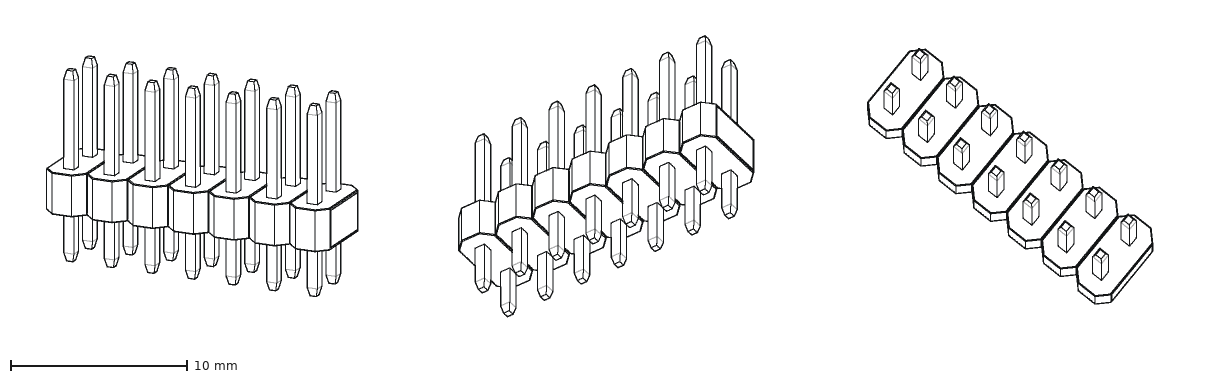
import cadquery as cq

TOTAL_LENGTH = 17.78
SECTION_COUNT = 7
PINS_PER_SECTION = 2
PITCH = TOTAL_LENGTH / SECTION_COUNT

PAD_THICKNESS = 0.02
PAD_MARGIN = 0.1

BLOCK_LENGTH = PITCH - 2 * PAD_THICKNESS
BLOCK_WIDTH = PINS_PER_SECTION * PITCH
BLOCK_HEIGHT = 2.5
CORNER_CUT = PITCH / 4
EDGE_BEVEL = 0.05

PIN_WIDTH = 0.64
PIN_TIP_WIDTH = 0.4
PIN_TIP_LENGTH = 0.52
PIN_TOTAL_LENGTH = 11.4
PIN_LENGTH_BELOW = 3.04


def centered_position(index, count):
    """Place of one item in a row spaced by the pitch and centred on zero."""
    return (index - (count - 1) / 2) * PITCH


def make_block():
    """Eight-sided block standing on Z = 0, with bevelled top and bottom rims."""
    block = cq.Workplane("XY").rect(BLOCK_LENGTH, BLOCK_WIDTH).extrude(BLOCK_HEIGHT)
    block = block.edges("|Z").chamfer(CORNER_CUT)
    return block.faces("<Z or >Z").edges().chamfer(EDGE_BEVEL)


def make_pads():
    """One plate through the block that stands proud of both end faces as pads."""
    end_face_width = BLOCK_WIDTH - 2 * CORNER_CUT
    end_face_height = BLOCK_HEIGHT - 2 * EDGE_BEVEL
    plate = cq.Workplane("XY", origin=(0, 0, BLOCK_HEIGHT / 2))
    return plate.box(PITCH, end_face_width - 2 * PAD_MARGIN, end_face_height - 2 * PAD_MARGIN)


def make_pin_tip(base_z, length):
    """Tapered tip that starts at base_z; a negative length points it down."""
    return (
        cq.Workplane("XY", origin=(0, 0, base_z))
        .rect(PIN_WIDTH, PIN_WIDTH)
        .workplane(offset=length)
        .rect(PIN_TIP_WIDTH, PIN_TIP_WIDTH)
        .loft(ruled=True)
    )


def make_pin():
    """Square pin through the block, tapered at both ends."""
    shank_bottom = PIN_TIP_LENGTH - PIN_LENGTH_BELOW
    shank_length = PIN_TOTAL_LENGTH - 2 * PIN_TIP_LENGTH
    shank = (
        cq.Workplane("XY", origin=(0, 0, shank_bottom))
        .rect(PIN_WIDTH, PIN_WIDTH)
        .extrude(shank_length)
    )
    lower_tip = make_pin_tip(shank_bottom, -PIN_TIP_LENGTH)
    upper_tip = make_pin_tip(shank_bottom + shank_length, PIN_TIP_LENGTH)
    return shank.union(lower_tip).union(upper_tip)


def make_header_section():
    """One header section centred on X = 0: block, pads and its row of pins in one solid."""
    section = make_block().union(make_pads())
    pin = make_pin()
    for row in range(PINS_PER_SECTION):
        pin_y = centered_position(row, PINS_PER_SECTION)
        section = section.union(pin.translate((0, pin_y, 0)))
    return section


header_sections = []
for index in range(SECTION_COUNT):
    section_x = centered_position(index, SECTION_COUNT)
    header_section = make_header_section().translate((section_x, 0, 0))
    header_sections.append(header_section.solids().val())

result = cq.Compound.makeCompound(header_sections)